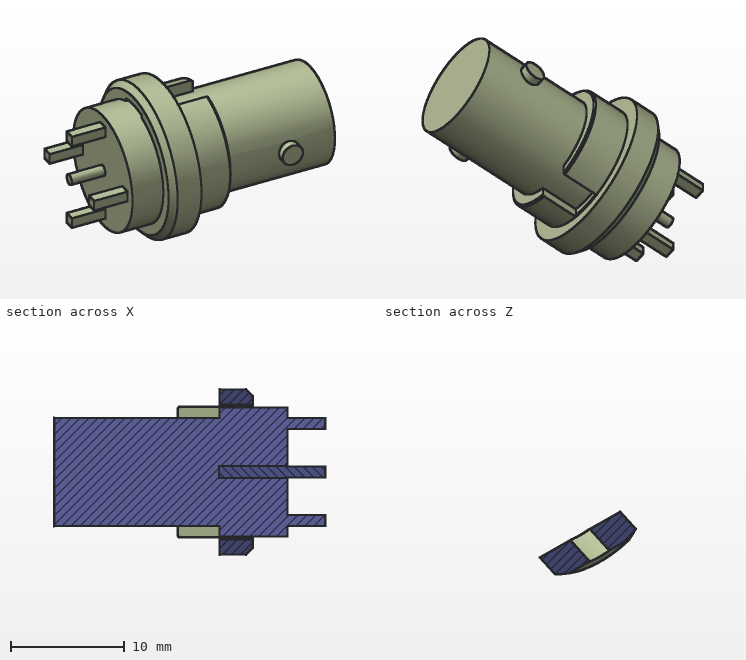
import cadquery as cq

TOTAL_LENGTH = 23.87

BARREL_RADIUS = 4.8
BASE_RADIUS = 5.7
BASE_START = 3.32
SHOULDER = 9.33

LUG_RADIUS = 1.0
LUG_CENTRE = 19.3
LUG_TIP = 5.51

TERMINAL_WIDTH = 1.0
POST_OFFSET = 4.27
POST_COUNT = 4

FLANGE_RADIUS = 7.3
FLANGE_START = 6.37
FLANGE_END = SHOULDER
FLANGE_CHAMFER = 0.6
COLLAR_RADIUS = 5.95
COLLAR_END = 13.0
COLLAR_CHAMFER = 0.15
SLOT_WIDTH = 2.95


def cylinder_y(radius, start, end):
    """Cylinder on the Y axis between two Y positions."""
    return cq.Workplane("XZ", origin=(0, start, 0)).circle(radius).extrude(start - end)


def make_post(angle):
    """Square terminal post, turned around the Y axis to its place."""
    post = cq.Workplane("XY").box(TERMINAL_WIDTH, BASE_START, TERMINAL_WIDTH, centered=(True, False, True))
    return post.translate((POST_OFFSET, 0, 0)).rotate((0, 0, 0), (0, 1, 0), angle)


def make_barrel():
    """Barrel, base, lugs and square posts, with a socket for the centre pin."""
    barrel = cylinder_y(BARREL_RADIUS, SHOULDER, TOTAL_LENGTH)
    barrel = barrel.union(cylinder_y(BASE_RADIUS, BASE_START, SHOULDER))
    lugs = (
        cq.Workplane("YZ")
        .center(LUG_CENTRE, 0)
        .circle(LUG_RADIUS)
        .extrude(LUG_TIP, both=True)
    )
    barrel = barrel.union(lugs)
    for i in range(POST_COUNT):
        barrel = barrel.union(make_post(i * 360 / POST_COUNT))
    return barrel.cut(make_centre_pin())


def make_centre_pin():
    """Round pin reaching through the full thickness of the base."""
    return cylinder_y(TERMINAL_WIDTH / 2, 0, SHOULDER)


def make_flanged_ring():
    """Flange and collar around the barrel, with two opposite through slots."""
    flange = cylinder_y(FLANGE_RADIUS, FLANGE_START, FLANGE_END).faces("<Y").chamfer(FLANGE_CHAMFER)
    collar = cylinder_y(COLLAR_RADIUS, FLANGE_START, COLLAR_END)
    slots = collar.intersect(
        cq.Workplane("XY").box(SLOT_WIDTH, 2 * COLLAR_END, 2 * COLLAR_RADIUS)
    )
    bore = cylinder_y(BARREL_RADIUS, FLANGE_START, COLLAR_END)
    bore = bore.union(cylinder_y(BASE_RADIUS, FLANGE_START, SHOULDER))
    collar = collar.faces(">Y").chamfer(COLLAR_CHAMFER)
    return flange.union(collar).cut(slots).cut(bore)


barrel = make_barrel()
centre_pin = make_centre_pin()
flanged_ring = make_flanged_ring()

result = cq.Compound.makeCompound([barrel.val(), centre_pin.val(), flanged_ring.val()])